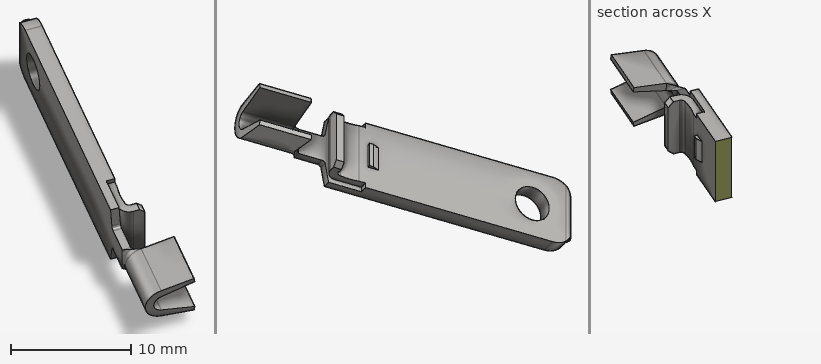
import cadquery as cq
import math


length = 31.35
sheet = 0.75
tab_width = 6.33
tab_half = tab_width / 2
tab_thickness = 2 * sheet

nose_radius = 2.0
nose_flat_half = 2.05
hole_x = 3.95
hole_diameter = 3.2

shoulder_x = 22.85
shoulder_slant = 0.38
shoulder_fillet = 0.3
neck_half = 1.2
neck_end_x = 25.7

wide_leaf_end_x = 19.75
stop_half = 2.73
stop_outer_x = 23.3
stop_top_y = 2.88
stop_bend_inner = 0.38
stop_bend_outer = stop_bend_inner + sheet
stop_chamfer = 0.47

latch_start_x = 18.55
latch_crest_x = 19.18
latch_end_x = 19.52
latch_height = 0.28
latch_half = 1.1
dip_x = 21.25
dip_half_length = 0.88
dip_depth = 0.085

barrel_start_x = 26.45
barrel_outer_radius = 1.63
barrel_inner_radius = barrel_outer_radius - sheet
wing_outer_flare = 8.0
wing_inner_flare = 14.0
wing_inner_tip_y = 4.4
wing_outer_tip_y = 4.32


def slab(sketch, half_width):
    """Extrude an XY outline symmetrically about z = 0."""
    return sketch.extrude(half_width, both=True)


def box(x_min, x_max, y_min, y_max, half_width):
    size = (x_max - x_min, y_max - y_min, 2 * half_width)
    return cq.Workplane("XY").box(*size, centered=(False, False, True)).translate((x_min, y_min, 0))


def front_leaf():
    outline = [
        (sheet, tab_half),
        (shoulder_x, tab_half),
        (shoulder_x + shoulder_slant, neck_half),
        (neck_end_x, neck_half),
    ]
    mirrored = [(x, -z) for x, z in reversed(outline)]
    leaf = cq.Workplane("XZ").polyline(outline + mirrored).close().extrude(-sheet)
    inner_corner_x = shoulder_x + shoulder_slant
    inner_corners = cq.selectors.BoxSelector(
        (inner_corner_x - shoulder_fillet / 2, -sheet, -neck_half - shoulder_fillet / 2),
        (inner_corner_x + shoulder_fillet / 2, tab_thickness, neck_half + shoulder_fillet / 2),
    )
    return leaf.edges("|Y").edges(inner_corners).fillet(shoulder_fillet)


def back_leaf():
    wide_part = box(sheet, wide_leaf_end_x, sheet, tab_thickness, tab_half)
    stop_inner_x = stop_outer_x - sheet
    bend_start_x = stop_outer_x - stop_bend_outer
    bend_center_y = sheet + stop_bend_outer
    diagonal = math.sqrt(0.5)
    outer_middle = (
        bend_start_x + stop_bend_outer * diagonal,
        bend_center_y - stop_bend_outer * diagonal,
    )
    inner_middle = (
        bend_start_x + stop_bend_inner * diagonal,
        bend_center_y - stop_bend_inner * diagonal,
    )
    stop = (
        cq.Workplane("XY")
        .moveTo(wide_leaf_end_x, sheet)
        .lineTo(bend_start_x, sheet)
        .threePointArc(outer_middle, (stop_outer_x, bend_center_y))
        .lineTo(stop_outer_x, stop_top_y)
        .lineTo(stop_inner_x, stop_top_y)
        .lineTo(stop_inner_x, bend_center_y)
        .threePointArc(inner_middle, (bend_start_x, tab_thickness))
        .lineTo(dip_x + dip_half_length, tab_thickness)
        .threePointArc(
            (dip_x, tab_thickness - dip_depth),
            (dip_x - dip_half_length, tab_thickness),
        )
        .lineTo(wide_leaf_end_x, tab_thickness)
        .close()
    )
    stop = slab(stop, stop_half).edges("|X and >Y").chamfer(stop_chamfer)
    return wide_part.union(stop)


def latch():
    crest_y = tab_thickness + latch_height
    outline = (
        cq.Workplane("XY")
        .moveTo(latch_start_x, sheet)
        .lineTo(latch_start_x, tab_thickness)
        .lineTo(latch_crest_x, crest_y)
        .lineTo(latch_end_x, crest_y)
        .lineTo(latch_end_x, sheet)
        .close()
    )
    return slab(outline, latch_half)


def rounded_nose(tab):
    """Round the tab corners at the fold, leaving a straight end of fixed width."""
    arc_center_z = tab_half - nose_radius

    def arc_x(z):
        return nose_radius - math.sqrt(nose_radius**2 - (z - arc_center_z) ** 2)

    middle_z = (nose_flat_half + tab_half) / 2
    envelope = (
        cq.Workplane("XZ")
        .moveTo(0, -nose_flat_half)
        .lineTo(arc_x(nose_flat_half), -nose_flat_half)
        .threePointArc((arc_x(middle_z), -middle_z), (nose_radius, -tab_half))
        .lineTo(length, -tab_half)
        .lineTo(length, tab_half)
        .lineTo(nose_radius, tab_half)
        .threePointArc((arc_x(middle_z), middle_z), (arc_x(nose_flat_half), nose_flat_half))
        .lineTo(0, nose_flat_half)
        .close()
        .extrude(-wing_inner_tip_y)
    )
    return tab.intersect(envelope)


def wing_root(radius, flare):
    """Point (y, z) where the round barrel floor runs tangent into a wing."""
    angle = math.radians(flare)
    return barrel_outer_radius - radius * math.sin(angle), radius * math.cos(angle)


def wing_tip(radius, flare, tip_y):
    root_y, root_z = wing_root(radius, flare)
    return tip_y, root_z + (tip_y - root_y) * math.tan(math.radians(flare))


outer_root = wing_root(barrel_outer_radius, wing_outer_flare)
inner_root = wing_root(barrel_inner_radius, wing_inner_flare)


def opposite(point):
    return point[0], -point[1]


def barrel():
    outer_tip = wing_tip(barrel_outer_radius, wing_outer_flare, wing_outer_tip_y)
    inner_tip = wing_tip(barrel_inner_radius, wing_inner_flare, wing_inner_tip_y)
    return (
        cq.Workplane("YZ", origin=(barrel_start_x, 0, 0))
        .moveTo(*outer_tip)
        .lineTo(*outer_root)
        .threePointArc((0, 0), opposite(outer_root))
        .lineTo(*opposite(outer_tip))
        .lineTo(*opposite(inner_tip))
        .lineTo(*opposite(inner_root))
        .threePointArc((sheet, 0), inner_root)
        .lineTo(*inner_tip)
        .close()
        .extrude(length - barrel_start_x)
    )


def neck_to_barrel():
    """Ruled transition from the flat neck to the round barrel floor."""
    return (
        cq.Workplane("YZ", origin=(neck_end_x, 0, 0))
        .moveTo(0, neck_half)
        .lineTo(0, -neck_half)
        .lineTo(sheet, -neck_half)
        .lineTo(sheet, neck_half)
        .close()
        .workplane(offset=barrel_start_x - neck_end_x)
        .moveTo(*outer_root)
        .threePointArc((0, 0), opposite(outer_root))
        .lineTo(*opposite(inner_root))
        .threePointArc((sheet, 0), inner_root)
        .close()
        .loft(ruled=True)
    )


fold = cq.Workplane("XY").center(sheet, sheet).circle(sheet)
fold = slab(fold, tab_half)
tab = front_leaf().union(fold).union(back_leaf()).union(latch())
hole = cq.Workplane("XZ").center(hole_x, 0).circle(hole_diameter / 2).extrude(-tab_thickness)
tab = rounded_nose(tab).cut(hole)

result = tab.union(neck_to_barrel()).union(barrel())